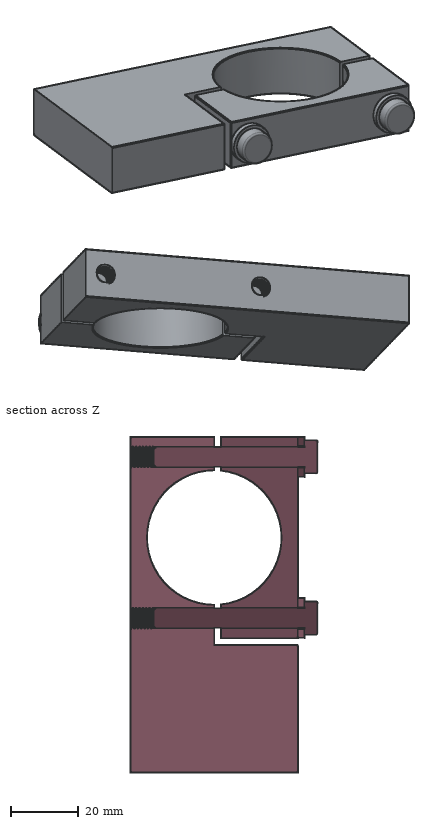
import cadquery as cq

BLOCK_WIDTH = 50.0
BLOCK_LENGTH = 100.0
THICKNESS = 15.0
EDGE_CHAMFER = 0.3

BORE_DIAMETER = 40.0
CLAMP_LENGTH = 60.0
GAP = 2.0
BORE_X = BLOCK_WIDTH / 2
BORE_Y = BLOCK_LENGTH - CLAMP_LENGTH / 2
CAP_X = BORE_X + GAP
CAP_Y = BLOCK_LENGTH - CLAMP_LENGTH
CAP_WIDTH = BLOCK_WIDTH - CAP_X
LEDGE_Y = CAP_Y - GAP

WASHER_DIAMETER = 12.0
WASHER_HOLE_DIAMETER = 6.4
WASHER_THICKNESS = 1.9
SCREW_INSET = WASHER_DIAMETER / 2
SCREW_POSITIONS = (BLOCK_LENGTH - SCREW_INSET, CAP_Y + SCREW_INSET)

SCREW_DIAMETER = 6.0
SCREW_LENGTH = 45.0
SCREW_TIP_DIAMETER = 4.7
SCREW_TIP_CHAMFER = (SCREW_DIAMETER - SCREW_TIP_DIAMETER) / 2
HEAD_DIAMETER = 10.0
HEAD_HEIGHT = 3.9
HEAD_FILLET = 0.6
HEAD_SEAT_X = BLOCK_WIDTH + WASHER_THICKNESS
SCREW_TIP_X = HEAD_SEAT_X - SCREW_LENGTH

THREAD_MINOR_DIAMETER = 5.0
THREAD_MAJOR_DIAMETER = 6.1
THREAD_PITCH = 1.0
GROOVE_MOUTH = 0.9
GROOVE_ROOT = 0.13
GROOVE_OVERCUT = 0.1


def plate(x, y, width, length):
    """Plate of full thickness with its low corner at (x, y)."""
    centre = (x + width / 2, y + length / 2, 0)
    return cq.Workplane("XY", origin=centre).box(width, length, THICKNESS)


def rod(x, y, diameter, length):
    """Cylinder along +X that starts at x."""
    return cq.Workplane("YZ", origin=(x, y, 0)).circle(diameter / 2).extrude(length)


def bore_cutter():
    """Cylinder of the clamp bore, flared at both faces to chamfer the rims."""
    half = THICKNESS / 2
    radius = BORE_DIAMETER / 2
    flared_radius = radius + EDGE_CHAMFER
    profile = [
        (0, -half),
        (flared_radius, -half),
        (radius, -half + EDGE_CHAMFER),
        (radius, half - EDGE_CHAMFER),
        (flared_radius, half),
        (0, half),
    ]
    cutter = cq.Workplane("XZ").polyline(profile).close().revolve(360, (0, 0, 0), (0, 1, 0))
    return cutter.translate((BORE_X, BORE_Y, 0))


def thread_cutter():
    """Helical groove along +X from one pitch outside x = 0, crossing x = 0 on the +Z side."""
    minor_radius = THREAD_MINOR_DIAMETER / 2
    major_radius = THREAD_MAJOR_DIAMETER / 2
    inner_radius = minor_radius - GROOVE_OVERCUT
    helix = cq.Wire.makeHelix(THREAD_PITCH, SCREW_TIP_X + THREAD_PITCH, minor_radius)
    profile = [
        (inner_radius, -GROOVE_MOUTH / 2),
        (major_radius, -GROOVE_ROOT / 2),
        (major_radius, GROOVE_ROOT / 2),
        (inner_radius, GROOVE_MOUTH / 2),
    ]
    groove = cq.Workplane("XZ").polyline(profile).close().sweep(cq.Workplane(helix), isFrenet=True)
    groove = groove.rotate((0, 0, 0), (0, 1, 0), 90).rotate((0, 0, 0), (1, 0, 0), 180)
    return groove.translate((-THREAD_PITCH, 0, 0))


def make_base():
    base = plate(0, 0, BLOCK_WIDTH, BLOCK_LENGTH)
    base = base.cut(plate(BORE_X, LEDGE_Y, BLOCK_WIDTH, BLOCK_LENGTH))
    ledge_edges = cq.selectors.BoxSelector(
        (CAP_X, LEDGE_Y - EDGE_CHAMFER, -THICKNESS),
        (BLOCK_WIDTH + EDGE_CHAMFER, LEDGE_Y + EDGE_CHAMFER, THICKNESS),
    )
    base = base.edges("|Y and (<X or >X)").add(base.edges(ledge_edges)).chamfer(EDGE_CHAMFER)
    base = base.cut(bore_cutter())
    groove = thread_cutter()
    for y in SCREW_POSITIONS:
        base = base.cut(rod(0, y, THREAD_MINOR_DIAMETER, BORE_X))
        base = base.cut(groove.translate((0, y, 0)))
        base = base.cut(rod(SCREW_TIP_X, y, SCREW_DIAMETER, BORE_X))
    return base


def make_cap():
    cap = plate(CAP_X, CAP_Y, CAP_WIDTH, CLAMP_LENGTH)
    cap = cap.edges("(|Y and >X) or (|X and <Y) or (|Z and >X and <Y)").chamfer(EDGE_CHAMFER)
    cap = cap.cut(bore_cutter())
    for y in SCREW_POSITIONS:
        cap = cap.cut(rod(CAP_X, y, SCREW_DIAMETER, CAP_WIDTH))
    return cap


def make_washer(y):
    washer = rod(BLOCK_WIDTH, y, WASHER_DIAMETER, WASHER_THICKNESS)
    return washer.cut(rod(BLOCK_WIDTH, y, WASHER_HOLE_DIAMETER, WASHER_THICKNESS))


def make_screw(y):
    shank = rod(SCREW_TIP_X, y, SCREW_DIAMETER, SCREW_LENGTH).faces("<X").chamfer(SCREW_TIP_CHAMFER)
    head = rod(HEAD_SEAT_X, y, HEAD_DIAMETER, HEAD_HEIGHT).faces(">X").edges().fillet(HEAD_FILLET)
    return shank.union(head)


base = make_base()
cap = make_cap()
washers = [make_washer(y).val() for y in SCREW_POSITIONS]
screws = [make_screw(y).val() for y in SCREW_POSITIONS]

result = cq.Compound.makeCompound([*base.vals(), *cap.vals(), *washers, *screws])